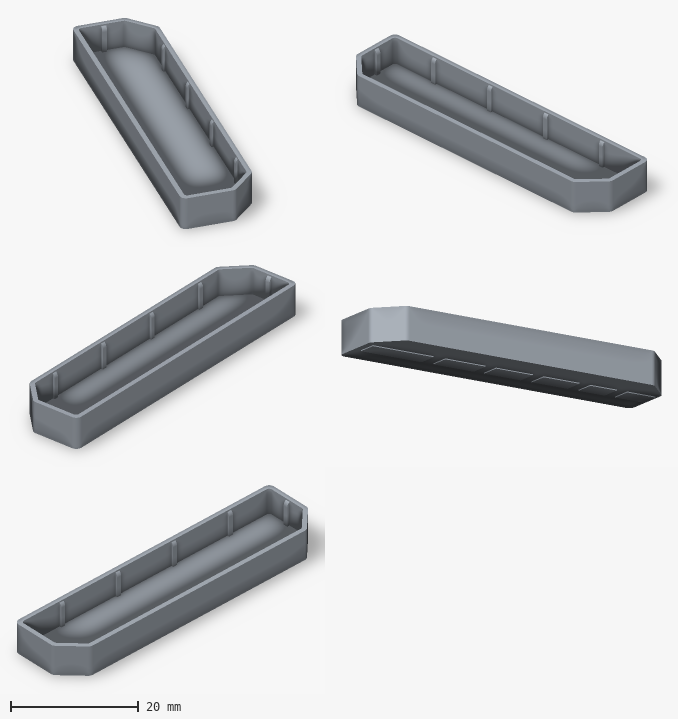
import cadquery as cq
import math

LENGTH = 54.8
WIDTH = 13.1
TOTAL_HEIGHT = 5.8
PAD_HEIGHT = 0.15

WALL = 0.8
FLOOR = 0.8
CORNER_RADIUS = 1.05
INNER_CORNER_RADIUS = 0.55
CORNER_CUT = 4.2

RIB_WIDTH = 0.8
SIDE_RIB_DEPTH = 0.4
END_RIB_DEPTH = 0.5
RIB_TOP_GAP = 0.3
RIB_TOP_RADIUS = 1.0
RIB_PITCH = 12.0
RIBS_PER_SIDE = 4
END_RIB_Y = -1.5

PAD_SPANS = [
    (-26.8, -21.55),
    (-19.55, -14.65),
    (-12.6, -5.85),
    (-3.85, 3.05),
    (5.05, 12.6),
    (14.8, 26.2),
]
PAD_WIDTH = 3.45
PAD_CENTRE_Y = -0.4

half_length = LENGTH / 2
half_width = WIDTH / 2
rim_z = TOTAL_HEIGHT - PAD_HEIGHT


def rounded_prism(inset, corner_radius):
    """Prism on the tray outline moved inward by inset, with its upright edges rounded."""
    cut = CORNER_CUT - inset * (2 - math.sqrt(2))
    block = cq.Workplane("XY").rect(LENGTH - 2 * inset, WIDTH - 2 * inset).extrude(rim_z)
    block = block.edges("|Z and >Y").chamfer(cut)
    return block.edges("|Z").fillet(corner_radius)


def shell():
    """Open tray with an even wall all round."""
    cavity = rounded_prism(WALL, INNER_CORNER_RADIUS).translate((0, 0, FLOOR))
    return rounded_prism(0, CORNER_RADIUS).cut(cavity)


def rib(depth):
    """Rib standing against a wall in the plane Y = 0 and reaching toward +Y."""
    top_z = rim_z - RIB_TOP_GAP
    arc_centre = depth - RIB_TOP_RADIUS
    round_start_z = top_z - math.sqrt(RIB_TOP_RADIUS**2 - arc_centre**2)
    root = -WALL / 2
    profile = cq.Workplane("YZ").moveTo(root, FLOOR / 2).lineTo(depth, FLOOR / 2)
    profile = profile.lineTo(depth, round_start_z).tangentArcPoint((0, top_z), relative=False)
    profile = profile.lineTo(root, top_z).close()
    return profile.extrude(RIB_WIDTH / 2, both=True)


def side_ribs():
    """Facing rows of ribs on the front and rear walls."""
    wall_y = half_width - WALL
    front_rib = rib(SIDE_RIB_DEPTH).translate((0, -wall_y, 0))
    rear_rib = front_rib.mirror("XZ")
    ribs = cq.Workplane("XY")
    for index in range(RIBS_PER_SIDE):
        x = (index - (RIBS_PER_SIDE - 1) / 2) * RIB_PITCH
        ribs = ribs.add(front_rib.translate((x, 0, 0)))
        ribs = ribs.add(rear_rib.translate((x, 0, 0)))
    return ribs.combine()


def end_ribs():
    """One rib on each end wall."""
    turned = rib(END_RIB_DEPTH).rotate((0, 0, 0), (0, 0, 1), -90)
    left_rib = turned.translate((WALL - half_length, END_RIB_Y, 0))
    return left_rib.union(left_rib.mirror("YZ"))


def label_pads():
    """Row of shallow pads under the floor."""
    pads = cq.Workplane("XY").workplane(offset=-PAD_HEIGHT)
    for left, right in PAD_SPANS:
        pads = pads.moveTo((left + right) / 2, PAD_CENTRE_Y).rect(right - left, PAD_WIDTH)
    return pads.extrude(PAD_HEIGHT + FLOOR / 2)


result = shell().union(side_ribs()).union(end_ribs()).union(label_pads())